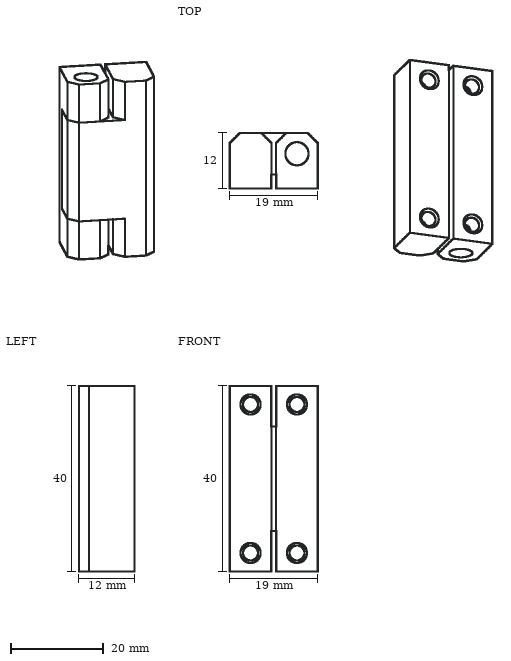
import cadquery as cq
import math

height = 40.0
leaf_width = 9.0
leaf_depth = 12.0
leaf_gap = 1.0
back_chamfer = 2.2
left_leaf_x = 0.0
right_leaf_x = left_leaf_x + leaf_width + leaf_gap
total_width = right_leaf_x + leaf_width

knuckle_end_inset = 8.7
knuckle_height = height - 2 * knuckle_end_inset
knuckle_front_y = leaf_depth - leaf_width

pin_diameter = 5.0
pin_x = right_leaf_x + leaf_width / 2
pin_y = (knuckle_front_y + leaf_depth) / 2

hole_diameter = 3.25
hole_depth = 6.0
drill_point_angle = 120.0
countersink_diameter = 4.3
hole_end_inset = 4.0
hole_heights = (hole_end_inset, height - hole_end_inset)


def make_block(x_start, y_front, x_end, block_height, chamfered_edges):
    """Block standing on Z = 0, reaching the back face, with chamfered upright edges."""
    return (
        cq.Workplane("XY")
        .box(x_end - x_start, leaf_depth - y_front, block_height, centered=False)
        .translate((x_start, y_front, 0))
        .edges(chamfered_edges)
        .chamfer(back_chamfer)
    )


def make_leaf(x_start):
    """Full-height leaf with both back edges chamfered."""
    return make_block(x_start, 0, x_start + leaf_width, height, "|Z and >Y")


def make_hole_cutter(x, z):
    """Countersunk blind hole with a conical drill point, revolved about its axis."""
    hole_radius = hole_diameter / 2
    countersink_radius = countersink_diameter / 2
    countersink_depth = countersink_radius - hole_radius
    tip_length = hole_radius / math.tan(math.radians(drill_point_angle / 2))
    return (
        cq.Workplane("XY")
        .moveTo(0, 0)
        .lineTo(countersink_radius, 0)
        .lineTo(hole_radius, countersink_depth)
        .lineTo(hole_radius, hole_depth)
        .lineTo(0, hole_depth + tip_length)
        .close()
        .revolve(360, (0, 0), (0, 1))
        .translate((x, 0, z))
    )


def drill_mounting_holes(leaf, x_start):
    """Drill both mounting holes on the centre line of a leaf."""
    for z in hole_heights:
        leaf = leaf.cut(make_hole_cutter(x_start + leaf_width / 2, z))
    return leaf


def make_knuckle():
    """Knuckle from the middle of the left leaf to the outer side of the right leaf."""
    knuckle_root_x = left_leaf_x + leaf_width / 2
    return make_block(
        knuckle_root_x, knuckle_front_y, total_width, knuckle_height, "|Z and >Y and >X"
    ).translate((0, 0, knuckle_end_inset))


def make_pin():
    """Plain round pin, flush with the leaf at both ends."""
    return cq.Workplane("XY").center(pin_x, pin_y).circle(pin_diameter / 2).extrude(height)


def make_left_leaf():
    """Left leaf joined to its knuckle, bored for the pin."""
    leaf = make_leaf(left_leaf_x).union(make_knuckle()).cut(make_pin())
    return drill_mounting_holes(leaf, left_leaf_x)


def make_right_leaf():
    """Right leaf notched for the knuckle and bored for the pin."""
    leaf = make_leaf(right_leaf_x).cut(make_knuckle()).cut(make_pin())
    return drill_mounting_holes(leaf, right_leaf_x)


left_leaf = make_left_leaf()
right_leaf = make_right_leaf()
pin = make_pin()

result = cq.Compound.makeCompound([left_leaf.val(), right_leaf.val(), pin.val()])